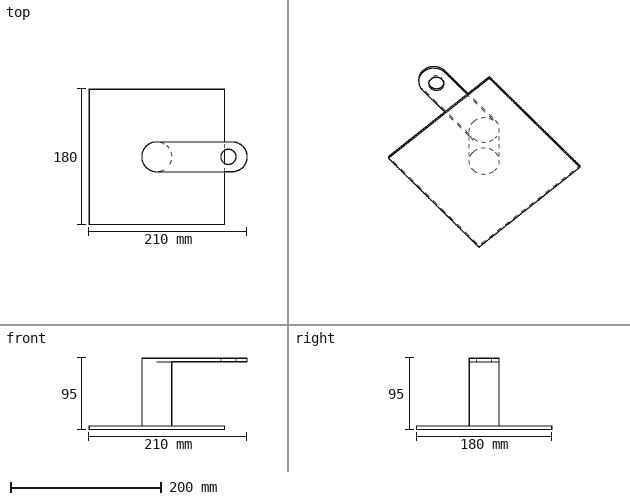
import cadquery as cq

overall_length = 210.0
overall_height = 95.0
plate_side = 180.0
sheet_thickness = 5.0
post_diameter = 40.0
hole_diameter = 20.0
hole_to_tip = 25.0

post_radius = post_diameter / 2
arm_tip = overall_length - plate_side / 2
arm_end_center = arm_tip - post_radius
hole_center = arm_tip - hole_to_tip
arm_bottom = overall_height - sheet_thickness


def make_plate():
    """Square base plate resting on Z = 0."""
    return cq.Workplane("XY").box(
        plate_side, plate_side, sheet_thickness, centered=(True, True, False)
    )


def make_post():
    """Round post from the base up to the top of the arm."""
    return cq.Workplane("XY").circle(post_radius).extrude(overall_height)


def make_arm():
    """Flat arm, as wide as the post, with rounded ends and a hole near its tip."""
    arm = (
        cq.Workplane("XY", origin=(arm_end_center / 2, 0, arm_bottom))
        .slot2D(arm_end_center + post_diameter, post_diameter)
        .extrude(sheet_thickness)
    )
    hole = (
        cq.Workplane("XY", origin=(hole_center, 0, arm_bottom))
        .circle(hole_diameter / 2)
        .extrude(sheet_thickness)
    )
    return arm.cut(hole)


result = make_plate().union(make_post()).union(make_arm())